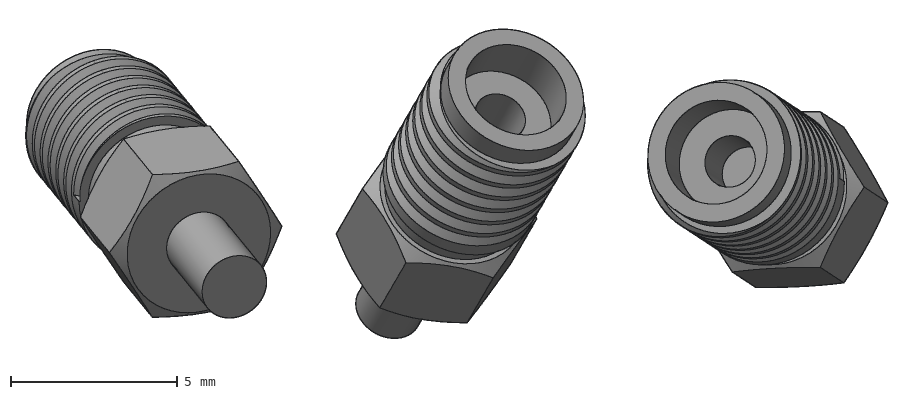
import cadquery as cq

total_length = 12.7
collar_length = 0.75
thread_end = 5.56
hex_start = thread_end + collar_length
hex_end = 9.5

collar_radius = 2.13
tail_radius = 1.03
bore_radius = 1.59
bore_depth = 1.54
contact_radius = 0.79
contact_depth = 1.9

thread_radius = 2.43
five_turn_length = 3.53
thread_pitch = five_turn_length / 5
groove_width = 0.51
groove_depth = 0.28
groove_overlap = 0.03
groove_start = 5.33
groove_runout = 2 * thread_pitch / 3
seam_angle = 100

hex_across_corners = 5.5
hex_corner_radius = hex_across_corners / 2
chamfer_face_radius = 2.29
chamfer_length = 0.29


def cylinder(start, end, radius):
    return cq.Workplane("YZ", origin=(start, 0, 0)).circle(radius).extrude(end - start)


def thread_groove():
    """V cutter on a right-hand helix from the blunt end towards the open end."""
    height = groove_start - collar_length + groove_runout
    helix = cq.Wire.makeHelix(thread_pitch, height, thread_radius)
    half_width = groove_width / 2 * (1 + groove_overlap / groove_depth)
    cutter = (
        cq.Workplane("XZ")
        .polyline([
            (thread_radius - groove_depth, 0),
            (thread_radius + groove_overlap, half_width),
            (thread_radius + groove_overlap, -half_width),
        ])
        .close()
        .sweep(cq.Workplane(obj=helix), isFrenet=True)
    )
    return (
        cutter
        .rotate((0, 0, 0), (0, 1, 0), -90)
        .rotate((0, 0, 0), (1, 0, 0), 90)
        .translate((groove_start, 0, 0))
    )


def threaded_barrel():
    blank = cylinder(collar_length, thread_end, thread_radius)
    blank = blank.rotate((0, 0, 0), (1, 0, 0), seam_angle)
    return blank.cut(thread_groove())


def hexagon():
    """Hexagonal body, corners on the Y axis, coned off at both ends."""
    body = (
        cq.Workplane("YZ", origin=(hex_start, 0, 0))
        .polygon(6, hex_across_corners)
        .extrude(hex_end - hex_start)
    )
    envelope = (
        cq.Workplane("XY")
        .polyline([
            (hex_start, 0),
            (hex_start, chamfer_face_radius),
            (hex_start + chamfer_length, hex_corner_radius),
            (hex_end - chamfer_length, hex_corner_radius),
            (hex_end, chamfer_face_radius),
            (hex_end, 0),
        ])
        .close()
        .revolve(360, (0, 0, 0), (1, 0, 0))
    )
    return body.intersect(envelope)


part = threaded_barrel()
part = part.union(cylinder(0, hex_start, collar_radius))
part = part.union(hexagon())
part = part.union(cylinder(hex_end, total_length, tail_radius))
part = part.cut(cylinder(0, bore_depth, bore_radius))
part = part.cut(cylinder(bore_depth, bore_depth + contact_depth, contact_radius))

result = part